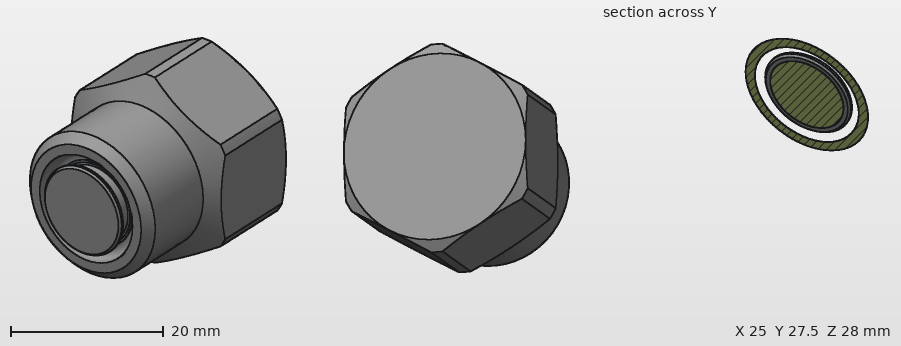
import cadquery as cq
import math

total_length = 27.5
collar_face = 0.95
hex_length = 15.0
shoulder = total_length - hex_length

across_flats = 25.0
corner_radius = 14.0
cone_slope = math.tan(math.radians(30))

collar_radius = 10.45
collar_chamfer_length = 1.35
collar_chamfer_width = 1.3

groove_radius = 7.73
groove_fillet = 1.23
groove_depth = 1.88

ring_outer_radius = 6.15
ring_inner_radius = 5.82
ring_depth = 0.08

plug_face_radius = 6.1
stem_radius = 5.5
rim_radius = 6.4
rim_chamfer = rim_radius - plug_face_radius
rim_back = 0.65


def hex_profile_solid():
    """Hexagonal prism spanning the full length, corners pointing along Z."""
    across_corners = across_flats / math.cos(math.radians(30))
    return (
        cq.Workplane("XZ")
        .transformed(rotate=(0, 0, 90))
        .polygon(6, across_corners)
        .extrude(-total_length)
    )


def turned_envelope():
    """Turned outline: coned hexagon ends, rounded corners and chamfered collar."""
    back_radius = across_flats / 2
    front_cone = (corner_radius - collar_radius) * cone_slope
    back_cone = (corner_radius - back_radius) * cone_slope
    return (
        cq.Workplane("XY")
        .moveTo(0, collar_face)
        .lineTo(collar_radius - collar_chamfer_width, collar_face)
        .lineTo(collar_radius, collar_face + collar_chamfer_length)
        .lineTo(collar_radius, shoulder)
        .lineTo(corner_radius, shoulder + front_cone)
        .lineTo(corner_radius, total_length - back_cone)
        .lineTo(back_radius, total_length)
        .lineTo(0, total_length)
        .close()
        .revolve(360, (0, 0, 0), (0, 1, 0))
    )


def groove():
    """Recess around the plug, with a rounded outer floor corner and a ring recess."""
    floor = collar_face + groove_depth
    fillet_start = floor - groove_fillet
    diagonal = groove_fillet * math.sqrt(0.5)
    fillet_centre = groove_radius - groove_fillet
    return (
        cq.Workplane("XY")
        .moveTo(0, collar_face)
        .lineTo(groove_radius, collar_face)
        .lineTo(groove_radius, fillet_start)
        .threePointArc(
            (fillet_centre + diagonal, fillet_start + diagonal),
            (fillet_centre, floor),
        )
        .lineTo(ring_outer_radius, floor)
        .lineTo(ring_outer_radius, floor + ring_depth)
        .lineTo(ring_inner_radius, floor + ring_depth)
        .lineTo(ring_inner_radius, floor)
        .lineTo(0, floor)
        .close()
        .revolve(360, (0, 0, 0), (0, 1, 0))
    )


def plug():
    """Central plug: a stem carrying a rim chamfered on both edges."""
    return (
        cq.Workplane("XY")
        .lineTo(plug_face_radius, 0)
        .lineTo(rim_radius, rim_chamfer)
        .lineTo(rim_radius, rim_back)
        .lineTo(plug_face_radius, rim_back + rim_chamfer)
        .lineTo(stem_radius, rim_back + rim_chamfer)
        .lineTo(stem_radius, shoulder)
        .lineTo(0, shoulder)
        .close()
        .revolve(360, (0, 0, 0), (0, 1, 0))
    )


body = hex_profile_solid().intersect(turned_envelope())
result = body.cut(groove()).union(plug())